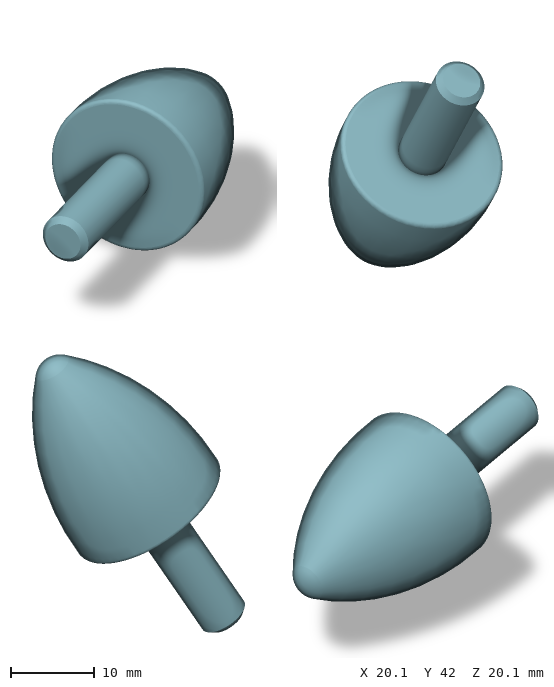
import cadquery as cq
import math

total_length = 42.0
stud_length = 18.0
stud_diameter = 6.0
stud_chamfer = 0.7
head_diameter = 20.05
widest_height = 1.5
tip_radius = 3.0
rim_fillet = 0.5

head_radius = head_diameter / 2
widest_y = stud_length + widest_height
tip_center_y = total_length - tip_radius
center_rise = tip_center_y - widest_y
side_radius = (head_radius**2 + center_rise**2 - tip_radius**2) / (2 * (head_radius - tip_radius))
side_center_x = head_radius - side_radius
tangent_angle = math.atan2(center_rise, -side_center_x)


def tip_point(angle):
    """Point on the tip sphere at an angle above the XZ plane."""
    return (tip_radius * math.cos(angle), tip_center_y + tip_radius * math.sin(angle))


def make_head():
    """Bullet-shaped head with a spherical tip and a rounded base rim."""
    base_radius = side_center_x + math.sqrt(side_radius**2 - widest_height**2)
    side_middle_angle = tangent_angle / 2
    side_middle = (
        side_center_x + side_radius * math.cos(side_middle_angle),
        widest_y + side_radius * math.sin(side_middle_angle),
    )
    tip_middle_angle = (tangent_angle + math.pi / 2) / 2
    head = (
        cq.Workplane("XY")
        .moveTo(0, stud_length)
        .lineTo(base_radius, stud_length)
        .threePointArc(side_middle, tip_point(tangent_angle))
        .threePointArc(tip_point(tip_middle_angle), (0, total_length))
        .close()
        .revolve(360, (0, 0), (0, 1))
    )
    return head.faces("<Y").edges().fillet(rim_fillet)


def make_stud():
    """Cylindrical stud with a chamfered free end."""
    stud = cq.Workplane("XZ").circle(stud_diameter / 2).extrude(-stud_length)
    return stud.faces("<Y").chamfer(stud_chamfer)


result = make_head().union(make_stud())